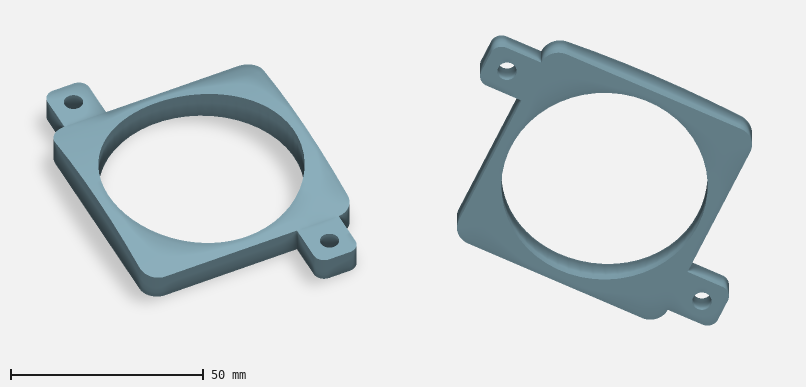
import cadquery as cq

total_length = 86.0
frame_side = 60.0
crown_height = 10.0
edge_height = 7.0
frame_corner_radius = 5.0
opening_diameter = 53.6

tab_width = 12.0
tab_offset_y = 19.0
tab_corner_radius = 3.0
tab_hole_diameter = 5.0
tab_hole_x = 37.0

half_side = frame_side / 2
half_length = total_length / 2


def make_frame():
    """Rounded square whose top is an arc across X, constant along Y."""
    crowned_block = (
        cq.Workplane("XZ")
        .moveTo(-half_side, 0)
        .lineTo(half_side, 0)
        .lineTo(half_side, edge_height)
        .threePointArc((0, crown_height), (-half_side, edge_height))
        .close()
        .extrude(half_side, both=True)
    )
    rounded_square = (
        cq.Workplane("XY")
        .rect(frame_side, frame_side)
        .extrude(crown_height)
        .edges("|Z")
        .fillet(frame_corner_radius)
    )
    return crowned_block.intersect(rounded_square)


def make_tab():
    """Tab on the +X side with rounded outer corners and a through hole."""
    tab_length = half_length - half_side
    return (
        cq.Workplane("XY")
        .center(half_side + tab_length / 2, tab_offset_y)
        .rect(tab_length, tab_width)
        .extrude(edge_height)
        .edges("|Z and >X")
        .fillet(tab_corner_radius)
        .cut(
            cq.Workplane("XY")
            .center(tab_hole_x, tab_offset_y)
            .circle(tab_hole_diameter / 2)
            .extrude(edge_height)
        )
    )


opening = cq.Workplane("XY").circle(opening_diameter / 2).extrude(crown_height)
result = make_frame().cut(opening)

for angle in (0, 180):
    result = result.union(make_tab().rotate((0, 0, 0), (0, 0, 1), angle))